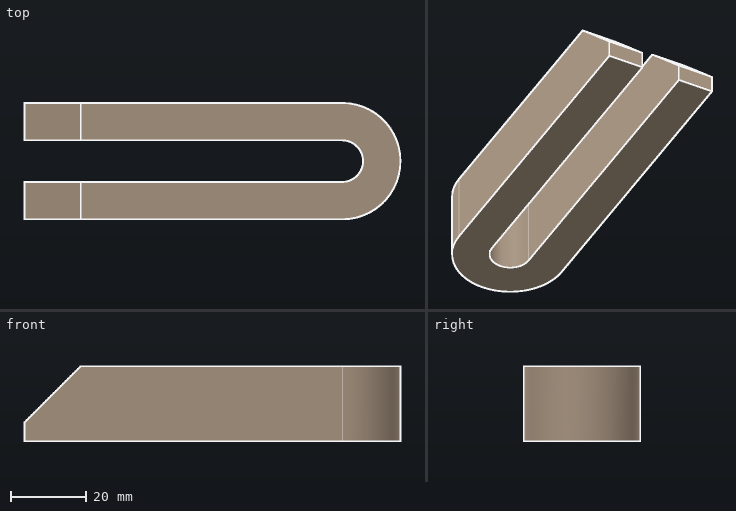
import cadquery as cq

length = 100.0
height = 20.0
leg_width = 10.0
slot_width = 11.0
width = slot_width + 2 * leg_width

nose_height = 5.0
nose_length = 15.0

outer_radius = width / 2
slot_radius = slot_width / 2
bend_center_x = length - outer_radius


def round_ended_bar(radius):
    """Full-height bar from X = 0 to the bend centre, closed by a half-round end."""
    return (
        cq.Workplane("XY")
        .moveTo(0, -radius)
        .lineTo(bend_center_x, -radius)
        .threePointArc((bend_center_x + radius, 0), (bend_center_x, radius))
        .lineTo(0, radius)
        .close()
        .extrude(height)
    )


def nose_wedge():
    """Wedge of material removed above the sloped nose, across the full width."""
    return (
        cq.Workplane("XZ")
        .moveTo(0, nose_height)
        .lineTo(nose_length, height)
        .lineTo(0, height)
        .close()
        .extrude(width / 2, both=True)
    )


result = round_ended_bar(outer_radius).cut(round_ended_bar(slot_radius)).cut(nose_wedge())